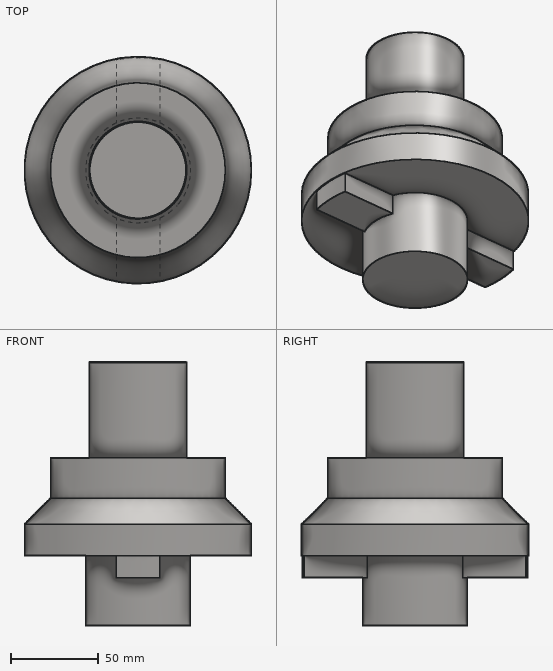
import cadquery as cq

spigot_diameter = 60.0
flange_diameter = 130.0
collar_diameter = 100.0
shaft_diameter = 56.0

spigot_height = 40.0
flange_height = 18.0
cone_height = (flange_diameter - collar_diameter) / 2
collar_height = 23.0
shaft_height = 55.0
shaft_chamfer = 0.5

key_width = 25.0
key_depth = 12.5
key_end_diameter = 129.0

flange_bottom = spigot_height
flange_top = flange_bottom + flange_height
collar_bottom = flange_top + cone_height
collar_top = collar_bottom + collar_height


def disc(diameter, bottom, height):
    """Upright cylinder on the part axis."""
    return cq.Workplane("XY").workplane(offset=bottom).circle(diameter / 2).extrude(height)


def make_cone():
    """Tapered shoulder from the flange rim in to the collar."""
    return (
        cq.Workplane("XY")
        .workplane(offset=flange_top)
        .circle(flange_diameter / 2)
        .workplane(offset=cone_height)
        .circle(collar_diameter / 2)
        .loft(ruled=True)
    )


def make_key():
    """Straight key with rounded ends that follow a circle about the part axis."""
    key_bottom = flange_bottom - key_depth
    bar = (
        cq.Workplane("XY")
        .workplane(offset=key_bottom)
        .rect(key_width, flange_diameter)
        .extrude(key_depth)
    )
    return bar.intersect(disc(key_end_diameter, key_bottom, key_depth))


def make_shaft():
    """Upper shaft with a small chamfer on its top edge."""
    return disc(shaft_diameter, collar_top, shaft_height).faces(">Z").chamfer(shaft_chamfer)


result = (
    disc(spigot_diameter, 0, spigot_height)
    .union(make_key())
    .union(disc(flange_diameter, flange_bottom, flange_height))
    .union(make_cone())
    .union(disc(collar_diameter, collar_bottom, collar_height))
    .union(make_shaft())
)